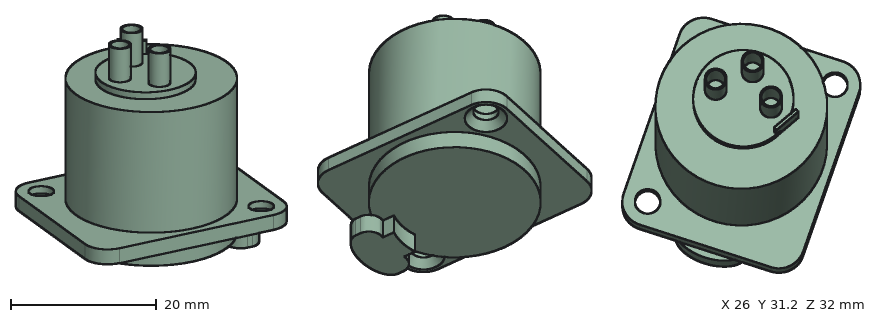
import cadquery as cq
import math

latch_height = 3.0
flange_bottom = 5.73
flange_thickness = 2.25
body_top = 26.0
insert_top = 27.0
tab_top = 29.0
pin_top = 32.0

flange_width = 26.0
flange_length = 31.0
overall_length = 31.23
corner_radius = 3.5
screw_hole_diameter = 3.5
countersink_diameter = 5.82
screw_hole_x = 9.5
screw_hole_y = 12.0

body_diameter = 23.6
insert_diameter = 13.8
insert_y = -0.9
pin_spacing = 4.0
pin_diameter = 3.0
pin_bore = 2.62

tab_length = 4.0
tab_thickness = 0.5
tab_x = -6.72
tab_y = 0.67
tab_angle = 60

neck_half_width = 2.53
neck_start_y = 8.45
neck_end_radius = math.hypot(neck_half_width, neck_start_y)
head_half_width = 5.02
head_start_y = 10.27
head_corner_radius = 2.05
crown_start_y = 13.1
crown_height = overall_length - flange_length / 2 - crown_start_y


def cylinder(diameter, bottom, top, x=0, y=0):
    """Upright cylinder between two heights."""
    return cq.Workplane("XY", origin=(x, y, bottom)).circle(diameter / 2).extrude(top - bottom)


def make_flange():
    """Rounded plate with two screw holes on one diagonal, countersunk at 45 degrees from below."""
    countersink_depth = (countersink_diameter - screw_hole_diameter) / 2
    plate = (
        cq.Workplane("XY", origin=(0, 0, flange_bottom))
        .rect(flange_width, flange_length)
        .extrude(flange_thickness)
        .edges("|Z")
        .fillet(corner_radius)
    )
    for side in (-1, 1):
        x = side * screw_hole_x
        y = side * screw_hole_y
        hole = cylinder(screw_hole_diameter, flange_bottom, flange_bottom + flange_thickness, x, y)
        countersink = cq.Solid.makeCone(
            countersink_diameter / 2,
            screw_hole_diameter / 2,
            countersink_depth,
            pnt=cq.Vector(x, y, flange_bottom),
        )
        plate = plate.cut(hole).cut(countersink)
    return plate


def make_pin(x, y):
    """Hollow solder cup, open at the top down to the insert face."""
    outer = cylinder(pin_diameter, insert_top, pin_top, x, y)
    return outer.cut(cylinder(pin_bore, insert_top, pin_top, x, y))


def make_tab():
    """Thin upright plate standing on the body beside the insert."""
    return (
        cq.Workplane("XY")
        .box(tab_length, tab_thickness, tab_top - body_top, centered=(True, True, False))
        .rotate((0, 0, 0), (0, 0, 1), tab_angle)
        .translate((tab_x, tab_y, body_top))
    )


def make_latch():
    """Release button under the body, reaching just past the flange edge."""
    neck = (
        cq.Workplane("XY")
        .center(0, (neck_start_y + crown_start_y) / 2)
        .rect(2 * neck_half_width, crown_start_y - neck_start_y)
        .extrude(latch_height)
    )
    head = (
        cq.Workplane("XY")
        .center(0, (head_start_y + crown_start_y) / 2)
        .rect(2 * head_half_width, crown_start_y - head_start_y)
        .extrude(latch_height)
        .edges("|Z and <Y")
        .fillet(head_corner_radius)
    )
    crown = (
        cq.Workplane("XY")
        .center(0, crown_start_y)
        .ellipse(head_half_width, crown_height)
        .extrude(latch_height)
    )
    inner_end = cylinder(2 * neck_end_radius, 0, latch_height)
    return head.union(crown).union(neck).cut(inner_end)


body = cylinder(body_diameter, latch_height, body_top)
insert = cylinder(insert_diameter, body_top, insert_top, y=insert_y)

result = body.union(make_flange()).union(insert).union(make_tab()).union(make_latch())

pin_places = [
    (-pin_spacing, insert_y),
    (pin_spacing, insert_y),
    (0, insert_y - pin_spacing),
]
for pin_x, pin_y in pin_places:
    result = result.union(make_pin(pin_x, pin_y))